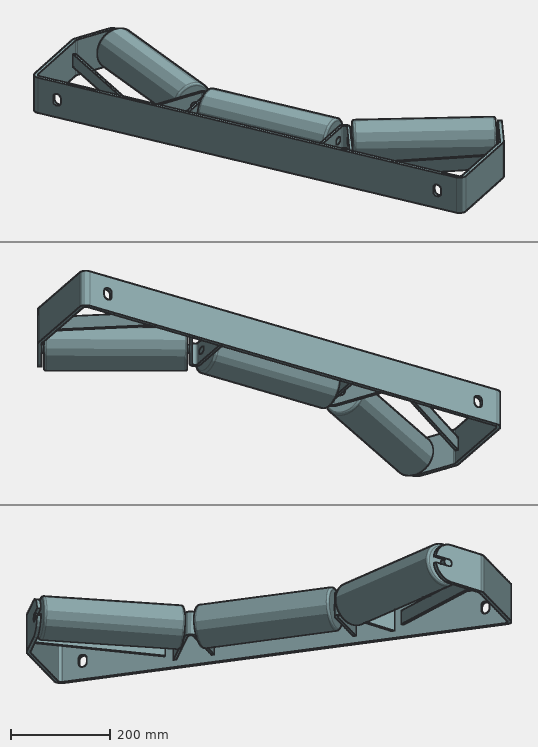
import cadquery as cq
import math

LENGTH = 980.0
FRAME_WIDTH = 80.0
FRAME_THICKNESS = 8.0
BASE_BEND = 15.0
ARM_BEND = 20.0
WALL_HEIGHT = 183.0
ARM_LENGTH = 124.0
ARM_TIP_RADIUS = FRAME_WIDTH / 2
MOUNT_X = 432.0
MOUNT_WIDTH = 18.0
MOUNT_HEIGHT = 26.0

TILT = math.radians(30)
ROLLER_DIAMETER = 89.0
ROLLER_LENGTH = 290.0
ROLLER_EDGE = 5.0
SHAFT_WIDTH = 20.0
SHAFT_FLATS = 15.0
MIDDLE_Y = 102.0
WING_X = 308.0
WING_Y = 184.0

BRACKET_WIDTH = 50.0
BRACKET_THICKNESS = 6.0
BRACKET_BEND = 12.0
BRACKET_GAP = 4.0

BRACE_WIDTH = 29.0
BRACE_THICKNESS = 6.0
BRACE_WALL_Y = 168.0
BRACE_BASE_X = 257.0

LEVEL = cq.Vector(1, 0, 0)
WING_AXIS = cq.Vector(math.cos(TILT), -math.sin(TILT), 0)
ARM_DIRECTION = cq.Vector(math.sin(TILT), math.cos(TILT), 0)
MIDDLE_CENTRE = cq.Vector(0, MIDDLE_Y, 0)
WING_CENTRE = cq.Vector(-WING_X, WING_Y, 0)
WALL_TOP = cq.Vector(-LENGTH / 2, WALL_HEIGHT, 0)
ARM_TIP = WALL_TOP + ARM_DIRECTION * ARM_LENGTH

BRACKET_FACE = ROLLER_LENGTH / 2 + BRACKET_GAP
BRACKET_REACH = BRACKET_FACE + BRACKET_THICKNESS
ARM_REACH = (WING_CENTRE - WALL_TOP).dot(WING_AXIS)


def mirrored(body):
    return body.mirror("YZ")


def bent_strip(path, bends, thickness, width):
    """Strip with its outer face along `path` and its thickness to the left of it.

    `bends` holds the outer bend radius at each inner point of the path.
    """
    normals = []
    for start, end in zip(path, path[1:]):
        step = (end - start).normalized()
        normals.append(cq.Vector(-step.y, step.x, 0))
    inner = [path[0] + normals[0] * thickness]
    for corner, before, after in zip(path[1:], normals, normals[1:]):
        inner.append(corner + (before + after) * (thickness / (1 + before.dot(after))))
    inner.append(path[-1] + normals[-1] * thickness)

    outline = [(point.x, point.y) for point in path + inner[::-1]]
    strip = cq.Workplane("XY").polyline(outline).close().extrude(width / 2, both=True)
    for outer_corner, inner_corner, bend in zip(path[1:-1], inner[1:-1], bends):
        for corner, radius in ((outer_corner, bend), (inner_corner, bend - thickness)):
            edge = cq.selectors.NearestToPointSelector(corner.toTuple())
            strip = strip.edges(edge).fillet(radius)
    return strip


def across_axis(centre, axis, distance):
    """Workplane square to a roller axis, `distance` from its centre, local Y along Z."""
    origin = centre + axis * distance
    side = cq.Vector(-axis.y, axis.x, 0)
    return cq.Workplane(cq.Plane(origin.toTuple(), side.toTuple(), axis.toTuple()))


def make_shaft(centre, axis, start, end):
    """Flat-sided shaft with rounded edges, running between two distances along the axis."""
    return across_axis(centre, axis, start).slot2D(SHAFT_WIDTH, SHAFT_FLATS).extrude(end - start)


def make_roller(centre, axis, shaft_start):
    drum = across_axis(centre, axis, -ROLLER_LENGTH / 2).circle(ROLLER_DIAMETER / 2).extrude(ROLLER_LENGTH)
    drum = drum.edges("%CIRCLE").fillet(ROLLER_EDGE)
    return drum.union(make_shaft(centre, axis, shaft_start, BRACKET_REACH))


def make_arm_tip_waste():
    """Corners to remove so that the tip of the left arm is fully rounded."""
    plane = across_axis(ARM_TIP - ARM_DIRECTION * ARM_TIP_RADIUS, WING_AXIS, 0)
    corners = plane.center(ARM_TIP_RADIUS / 2, 0).rect(ARM_TIP_RADIUS, FRAME_WIDTH).extrude(FRAME_THICKNESS)
    return corners.cut(plane.circle(ARM_TIP_RADIUS).extrude(FRAME_THICKNESS))


def make_arm_slot():
    """Slot open at the tip of the left arm, seating the flat-sided shaft end."""
    slot = across_axis(WING_CENTRE, WING_AXIS, -ARM_REACH)
    slot = slot.center(FRAME_WIDTH / 2, 0).rect(FRAME_WIDTH, SHAFT_FLATS).extrude(FRAME_THICKNESS)
    return slot.union(make_shaft(WING_CENTRE, WING_AXIS, -ARM_REACH, FRAME_THICKNESS - ARM_REACH))


def make_frame():
    left = [ARM_TIP, WALL_TOP, cq.Vector(-LENGTH / 2, 0, 0)]
    right = [cq.Vector(-point.x, point.y, 0) for point in reversed(left)]
    bends = [ARM_BEND, BASE_BEND, BASE_BEND, ARM_BEND]
    frame = bent_strip(left + right, bends, FRAME_THICKNESS, FRAME_WIDTH)
    for cutter in (make_arm_tip_waste(), make_arm_slot()):
        frame = frame.cut(cutter).cut(mirrored(cutter))

    mounts = cq.Workplane("XZ").pushPoints([(-MOUNT_X, 0), (MOUNT_X, 0)])
    return frame.cut(mounts.slot2D(MOUNT_HEIGHT, MOUNT_WIDTH, 90).extrude(-FRAME_THICKNESS))


def make_bracket():
    """Left bracket: an upright leg for the middle roller and a sloping leg for the wing."""
    slope_point = WING_CENTRE + WING_AXIS * BRACKET_FACE
    slope_foot = slope_point - ARM_DIRECTION * (slope_point.y / ARM_DIRECTION.y)
    upright_foot = cq.Vector(-BRACKET_FACE, 0, 0)
    peak_height = (upright_foot.x - slope_foot.x) / math.tan(TILT)
    peak = upright_foot + cq.Vector(0, peak_height, 0)
    bracket = bent_strip(
        [upright_foot, peak, slope_foot], [BRACKET_BEND], BRACKET_THICKNESS, BRACKET_WIDTH
    )

    below_base_top = cq.Workplane("XY").box(LENGTH, 2 * FRAME_THICKNESS, BRACKET_WIDTH)
    bracket = bracket.cut(below_base_top)
    for centre, axis in ((MIDDLE_CENTRE, LEVEL), (WING_CENTRE, WING_AXIS)):
        bracket = bracket.cut(make_shaft(centre, axis, -BRACKET_REACH, BRACKET_REACH))
    return bracket


def make_brace():
    """Left brace, its lower edge running from the wall to the base."""
    wall_end = cq.Vector(-LENGTH / 2 + FRAME_THICKNESS, BRACE_WALL_Y, 0)
    base_end = cq.Vector(-BRACE_BASE_X, FRAME_THICKNESS, 0)
    span = base_end - wall_end
    plane = cq.Workplane(cq.Plane(wall_end.toTuple(), span.toTuple(), (0, 0, 1)))
    return plane.rect(span.Length, BRACE_THICKNESS, centered=False).extrude(BRACE_WIDTH / 2, both=True)


frame = make_frame()
middle_roller = make_roller(MIDDLE_CENTRE, LEVEL, -BRACKET_REACH)
bodies = [frame.solids().val(), middle_roller.solids().val()]

wing_roller = make_roller(WING_CENTRE, WING_AXIS, -ARM_REACH)
for left_body in (wing_roller, make_bracket(), make_brace()):
    for body in (left_body, mirrored(left_body)):
        bodies.append(body.solids().val())

result = cq.Compound.makeCompound(bodies)